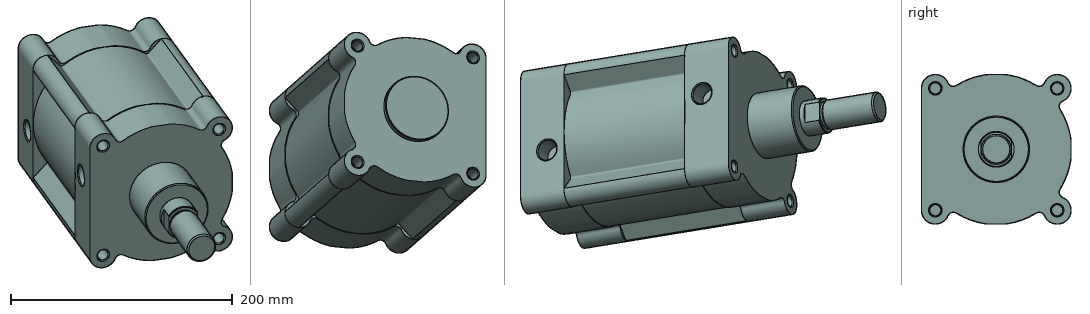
import cadquery as cq
import math


overall_length = 335.0
spigot_length = 5.5
cap_length = 44.2
barrel_length = 122.3
boss_length = 45.5

rear_cap_start = spigot_length
barrel_start = rear_cap_start + cap_length
front_cap_start = barrel_start + barrel_length
boss_start = front_cap_start + cap_length
rod_start = boss_start + boss_length

cap_size = 135.0
cap_half = cap_size / 2
cap_round_radius = 68.0
flat_blend_radius = 26.8
bolt_pitch = 110.0
bolt_offset = bolt_pitch / 2
cap_lug_radius = cap_half - bolt_offset
cap_notch_fillet = 5.0

bolt_hole_diameter = 10.0
bolt_countersink_diameter = 12.0
countersink_angle = 90
bolt_hole_depth = 20.0
port_diameter = 18.8
port_chamfer = 1.0
port_chamfer_angle = 45
port_depth = 20.0
port_inset = 26.8
port_height = 14.7
boss_diameter = 60.0
spigot_chamfer = 0.7
boss_chamfer = 1.0

barrel_radius = 67.5
rail_width = 19.0
barrel_fillet = 2.0

rod_diameter = 32.0
thread_diameter = 27.0
flat_width = 27.0
collar_length = 4.7
wrench_length = 14.5
wrench_chamfer = 0.7
groove_shoulder_radius = 12.7
groove_radius = 11.7
groove_length = 3.5
thread_chamfer = 1.5

edge_tolerance = 0.05


def section_plane(x):
    """Workplane across the cylinder axis, with local axes along Y and Z."""
    return cq.Workplane("YZ", origin=(x, 0, 0))


def lies_on_round(edge, radius):
    """Whether an edge along X lies at the given distance from the cylinder axis."""
    center = edge.Center()
    return abs(math.hypot(center.y, center.z) - radius) < edge_tolerance


def is_near_diagonal(edge):
    """Whether an edge along X lies towards a corner rather than the middle of a side."""
    center = edge.Center()
    return min(abs(center.y), abs(center.z)) > bolt_offset / 2


def cap_body(start):
    """Round cap cut to a square outline, with four corner lugs and a flat -Y side."""
    plane = section_plane(start)
    square = plane.rect(cap_size, cap_size).extrude(cap_length)
    body = plane.circle(cap_round_radius).extrude(cap_length).intersect(square)

    port_side = plane.polyline([
        (0, 0),
        (-bolt_offset, bolt_offset),
        (-cap_half, bolt_offset),
        (-cap_half, -bolt_offset),
        (-bolt_offset, -bolt_offset),
    ]).close().extrude(cap_length)
    lugs = plane.rect(bolt_pitch, bolt_pitch, forConstruction=True).vertices()
    lugs = lugs.circle(cap_lug_radius).extrude(cap_length)
    body = body.union(port_side).union(lugs)

    def is_notch(edge):
        return lies_on_round(edge, cap_round_radius) and is_near_diagonal(edge)

    def is_flat_border(edge):
        return lies_on_round(edge, cap_round_radius) and not is_near_diagonal(edge)

    body = body.edges("|X").filter(is_notch).fillet(cap_notch_fillet)
    return body.edges("|X").filter(is_flat_border).fillet(flat_blend_radius)


def cut_bolt_holes(cap, face):
    """Four blind countersunk holes in the outer end face of a cap."""
    holes = cap.faces(face).workplane(origin=(0, 0, 0))
    holes = holes.rect(bolt_pitch, bolt_pitch, forConstruction=True).vertices()
    return holes.cskHole(bolt_hole_diameter, bolt_countersink_diameter, countersink_angle, bolt_hole_depth)


def cut_port(cap, x, z):
    """Blind air port with a chamfered mouth in the flat -Y side."""
    mouth_diameter = port_diameter + 2 * port_chamfer
    port = cq.Workplane("XZ", origin=(x, -cap_half, z))
    bore = port.circle(port_diameter / 2).extrude(-port_depth)
    mouth = port.circle(mouth_diameter / 2).extrude(-port_chamfer, taper=port_chamfer_angle)
    return cap.cut(bore).cut(mouth)


def make_rear_cap():
    """Cap with its port below centre and a short spigot on the outer face."""
    cap = cut_bolt_holes(cap_body(rear_cap_start), "<X")
    cap = cut_port(cap, rear_cap_start + port_inset, -port_height)
    spigot = section_plane(0).circle(boss_diameter / 2).extrude(spigot_length)
    return cap.union(spigot.faces("<X").chamfer(spigot_chamfer))


def make_front_cap():
    """Cap with its port above centre and a long boss around the rod axis."""
    cap = cut_bolt_holes(cap_body(front_cap_start), ">X")
    cap = cut_port(cap, boss_start - port_inset, port_height)
    boss = section_plane(boss_start).circle(boss_diameter / 2).extrude(boss_length)
    return cap.union(boss.faces(">X").chamfer(boss_chamfer))


def make_barrel():
    """Round solid body with four diagonal rails that end in the rounding of the cap lugs."""
    plane = section_plane(barrel_start)
    body = plane.circle(barrel_radius).extrude(barrel_length)
    rail_ends = plane.rect(bolt_pitch, bolt_pitch, forConstruction=True).vertices()
    rail_ends = rail_ends.circle(cap_lug_radius).extrude(barrel_length)
    inner_span = plane.circle(math.sqrt(2) * bolt_offset).extrude(barrel_length)
    rail_limit = rail_ends.union(inner_span)
    for angle in (45, -45):
        rail = plane.transformed(rotate=(0, 0, angle)).rect(2 * cap_size, rail_width)
        body = body.union(rail.extrude(barrel_length).intersect(rail_limit))

    def is_rail_root(edge):
        return lies_on_round(edge, barrel_radius) and is_near_diagonal(edge)

    return body.edges("|X").filter(is_rail_root).fillet(barrel_fillet)


def make_rod():
    """Turned rod with a V groove behind the thread and two wrench flats."""
    rod_radius = rod_diameter / 2
    thread_radius = thread_diameter / 2
    flat_start = rod_start + collar_length
    wrench_end = flat_start + wrench_length
    groove_end = wrench_end + groove_length
    rod = cq.Workplane("XY").polyline([
        (rod_start, 0),
        (rod_start, rod_radius),
        (wrench_end - wrench_chamfer, rod_radius),
        (wrench_end, rod_radius - wrench_chamfer),
        (wrench_end, groove_shoulder_radius),
        (wrench_end + groove_length / 2, groove_radius),
        (groove_end, thread_radius),
        (overall_length - thread_chamfer, thread_radius),
        (overall_length, thread_radius - thread_chamfer),
        (overall_length, 0),
    ]).close().revolve(360, (0, 0, 0), (1, 0, 0))

    wrench_plane = section_plane(flat_start)
    around_rod = wrench_plane.rect(2 * rod_diameter, 2 * rod_diameter)
    waste = around_rod.rect(flat_width, 2 * rod_diameter).extrude(wrench_length)
    return rod.cut(waste)


rear_cap = make_rear_cap()
barrel = make_barrel()
front_cap = make_front_cap()
rod = make_rod()

result = cq.Compound.makeCompound([rear_cap.val(), barrel.val(), front_cap.val(), rod.val()])